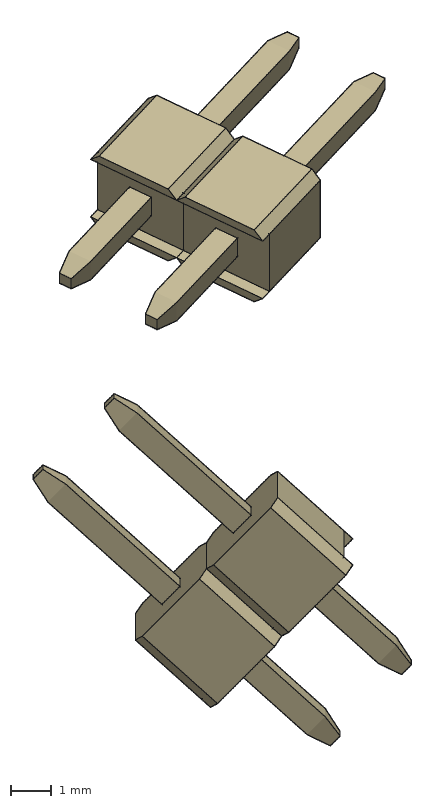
import cadquery as cq

pitch = 2.54
pin_count = 2

housing_height = 2.5
housing_depth = 2.54
housing_front_y = -2.01
corner_chamfer = 0.25
recess_depth = 0.3
recess_height = housing_height - 2 * corner_chamfer

pin_length = 10.04
pin_side = 0.64
tip_length = 0.64
tip_side = 0.35
shank_length = pin_length - 2 * tip_length


def box_from_front(width, depth, height, front_y):
    """Box centred on X and Z, reaching in +Y from front_y."""
    return cq.Workplane("XY").box(width, depth, height).translate((0, front_y + depth / 2, 0))


def pin_tip(end):
    """Square tapered tip; end is +1 for the +Y end and -1 for the -Y end."""
    plane = cq.Plane(origin=(0, end * shank_length / 2, 0), xDir=(1, 0, 0), normal=(0, end, 0))
    return (
        cq.Workplane(plane)
        .rect(pin_side, pin_side)
        .workplane(offset=tip_length)
        .rect(tip_side, tip_side)
        .loft(ruled=True)
    )


def make_pin():
    """Square pin, centred on the origin, with a taper at each end."""
    shank = cq.Workplane("XY").box(pin_side, shank_length, pin_side)
    return shank.union(pin_tip(1)).union(pin_tip(-1))


def make_housing():
    """Chamfered block with a front recess between two lips and a hole for its pin."""
    block = box_from_front(pitch, housing_depth, housing_height, housing_front_y)
    block = block.edges("|Y").chamfer(corner_chamfer)
    recess = box_from_front(pitch, recess_depth, recess_height, housing_front_y)
    pin_hole = box_from_front(pin_side, housing_depth, pin_side, housing_front_y)
    return block.cut(recess).cut(pin_hole)


housings = []
pins = []
for index in range(pin_count):
    x = (index - (pin_count - 1) / 2) * pitch
    housings.append(make_housing().translate((x, 0, 0)).val())
    pins.append(make_pin().translate((x, 0, 0)).val())

result = cq.Compound.makeCompound([*housings, *pins])